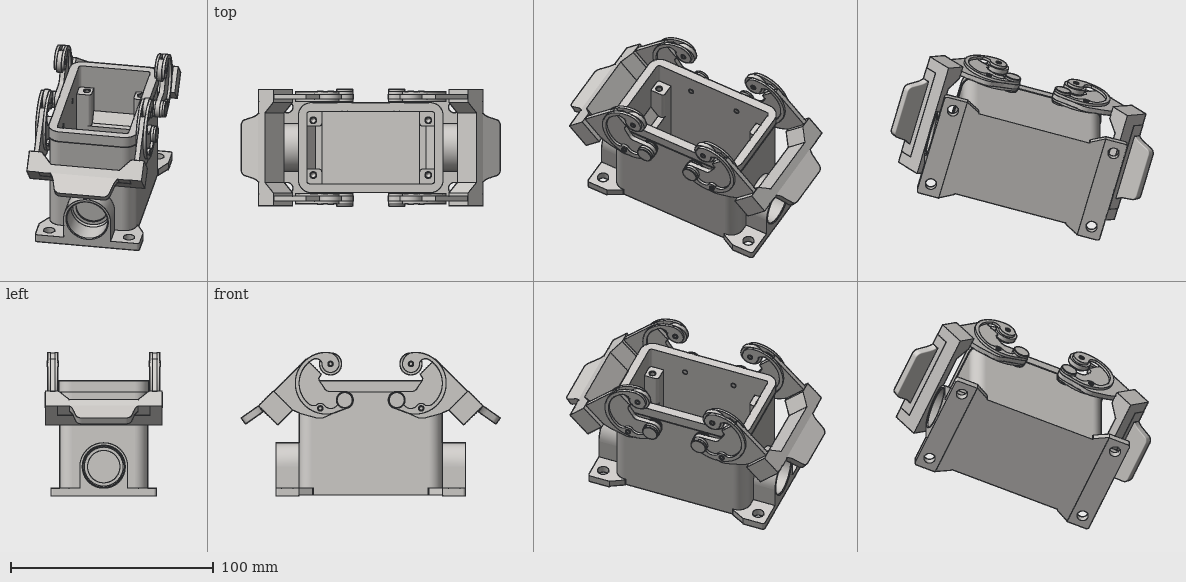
import cadquery as cq
import math

OVERALL_X = 128.0
OVERALL_Y = 58.0

BODY_X = 70.6
BODY_Y = 43.6
BODY_CORNER_R = 6.3
BODY_BOTTOM = 0.45
RIM_BOTTOM = 51.35
BODY_TOP = 57.0
RIM_OVERHANG = 0.4

CAVITY_X = 63.0
CAVITY_Y = 35.7
CAVITY_CORNER_R = 1.4
CAVITY_FLOOR = 3.95
LOWER_CAVITY_X = 48.3
LEDGE_Z = 27.5
SLOPE_TOP_Z = 32.2
SLOPE_FOOT_X = 27.3

POST_TOP = 45.0
POST_INNER_Y = 10.6
POST_CORNER_R = 1.5
POST_HOLE_X = 28.4
POST_HOLE_Y = 13.5
POST_HOLE_D = 2.6
POST_HOLE_DEPTH = 12.0
POST_COUNTERSINK_D = 3.4

FOOT_END_X = 46.8
FOOT_Y = 52.2
FOOT_TOP = 3.95
FOOT_CORNER_R = 1.3
FOOT_SHOULDER_X = 35.5
FOOT_TIP_X = 28.3
FOOT_TIP_STEP = 0.6
FOOT_TIP_BEVEL = 0.4
FOOT_HOLE_X = 41.2
FOOT_HOLE_Y = 20.0
FOOT_HOLE_D = 5.5

ENTRY_R = 11.8
ENTRY_Z = 14.5
BORE_D = 20.4
BORE_MOUTH_D = 21.3
BORE_DEPTH = 11.8
BORE_END_D = 19.2
BORE_END_TAPER = 1.4
KNOCKOUT_D = 16.0
KNOCKOUT_DEPTH = 1.0

COVER_INNER_Y = 22.7
PLATE_INNER_Y = 23.95
PLATE_OUTER_Y = 26.35
COVER_OUTER_Y = 27.7

HOOK_X, HOOK_Z = -22.0, 55.7
HOOK_OUTER_R = 15.24
HOOK_INNER_R = 13.35
HEAD_X, HEAD_Z = -19.85, 65.2
HEAD_R = 4.2
ROLLER_R = 5.5
RIVET_X, RIVET_Z = -24.9, 43.25
RIVET_BOSS_R = 2.5
RIVET_R = 1.35
RIVET_BORE_R = 0.9
RIVET_RELIEF = 0.3

WEB_DIP_RIGHT = (-20.1, 43.2)
WEB_DIP_LEFT = (-28.4, 44.6)
BEAK_INSIDE = (-25.5, 67.3)
BEAK_OUTSIDE = (-17.4, 69.2)

INNER_LOW_ANGLE = 231
INNER_HIGH_ANGLE = 116
BOSS_SIDE_ANGLE = 40
EYE_JOIN_ANGLE = 212
HEAD_JOIN_ANGLE = 172

STUD_X, STUD_Z = -12.85, 47.35
STUD_STEM_R = 3.7
STUD_HEAD_R = 4.0
COVER_EYE_R = 4.1
PLATE_EYE_R = 4.25
STUD_HEAD_CHAMFER = 0.3
STUD_SOCKET_D = 2.6
STUD_SOCKET_DEPTH = 0.4

ARM_LENGTH = 32.95
ARM_UPPER_INSET = 0.3
ARM_END_WIDTH = 10.6
ARM_LOWER_INSET = 0.3

THROAT_NOTCH = (-25.6, 58.1)
THROAT_TOP = (-25.2, 56.7)
THROAT_LOW = (-22.9, 53.2)
THROAT_BLEND = (-21.9, 52.1)
THROAT_END_X = -20.6
BELLY_RIGHT = (-23.2, 38.7)
BELLY_LOW = (-24.9, 38.4)
BELLY_LEFT = (-26.6, 38.5)
BELLY_BEND = (-34.7, 40.7)

BAR_X, BAR_Z = -55.4, 44.55
BAR_ANGLE = 45.0
BAR_LENGTH = 10.4
BAR_HEIGHT = 13.5
BAR_Y = 57.5
BAR_WAIST_LENGTH = 4.45
WAIST_HALF_Y = 17.1
WAIST_SHOULDER_Y = 22.4

TAB_ANGLE = 35.0
TAB_THICKNESS = 3.8
TAB_EDGE_R = 0.5
TAB_ROOT_DEPTH = 2.0
PAD_HEIGHT = 6.5
PAD_RAISE = 0.15
PAD_HALF_Y = 22.8
TAB_HALF_Y = 17.0
TAB_WAIST_HALF_Y = 15.2
TAB_WAIST_LENGTH = 3.2
TAB_TIP_HALF_Y = 13.2
TAB_TIP_R = 3.0


def box(x0, x1, y0, y1, z0, z1):
    """Axis-aligned block between the given limits."""
    return cq.Workplane("XY").box(x1 - x0, y1 - y0, z1 - z0, centered=False).translate((x0, y0, z0))


def front_plane(y):
    """X-Z sketch plane at -y that extrudes outward, away from the housing."""
    return cq.Workplane("XZ", origin=(0, -y, 0))


def front_disc(x, z, radius, y0, y1):
    """Disc with its axis along Y, from -y0 to -y1."""
    return front_plane(y0).center(x, z).circle(radius).extrude(y1 - y0)


def polar(x, z, radius, degrees):
    """Point on a circle about (x, z)."""
    angle = math.radians(degrees)
    return (x + radius * math.cos(angle), z + radius * math.sin(angle))


def with_mirror(part, plane):
    """The part together with its mirror image."""
    return part.union(part.mirror(plane))


def rounded_block(size_x, size_y, z0, z1, radius):
    block = box(-size_x / 2, size_x / 2, -size_y / 2, size_y / 2, z0, z1)
    return block.edges("|Z").fillet(radius)


def make_shell():
    wall = rounded_block(BODY_X, BODY_Y, BODY_BOTTOM, RIM_BOTTOM, BODY_CORNER_R)
    rim_x = BODY_X + 2 * RIM_OVERHANG
    rim_y = BODY_Y + 2 * RIM_OVERHANG
    rim = rounded_block(rim_x, rim_y, RIM_BOTTOM, BODY_TOP, BODY_CORNER_R)
    return wall.union(rim)


def make_foot():
    """Left foot: raised pad under the end and tapered ears beside the wall."""
    half_y = FOOT_Y / 2
    wall_y = BODY_Y / 2
    side = [
        (-FOOT_END_X, half_y),
        (-FOOT_SHOULDER_X, half_y),
        (-FOOT_TIP_X - FOOT_TIP_BEVEL, wall_y + FOOT_TIP_STEP),
        (-FOOT_TIP_X, wall_y),
    ]
    other_side = [(x, -y) for x, y in reversed(side)]
    foot = cq.Workplane("XY").polyline(side + other_side).close().extrude(FOOT_TOP)
    foot = foot.faces("<X").edges("|Z").fillet(FOOT_CORNER_R)
    relief = box(-FOOT_SHOULDER_X, 0, -half_y, half_y, 0, BODY_BOTTOM)
    return foot.cut(relief)


def make_entry():
    """Left cable entry: half-round tower standing on the foot."""
    tower = box(-FOOT_END_X, -LOWER_CAVITY_X / 2, -ENTRY_R, ENTRY_R, BODY_BOTTOM, ENTRY_Z)
    barrel_length = FOOT_END_X - LOWER_CAVITY_X / 2
    barrel = (
        cq.Workplane("YZ", origin=(-FOOT_END_X, 0, ENTRY_Z))
        .circle(ENTRY_R)
        .extrude(barrel_length)
    )
    return tower.union(barrel)


def make_cavity():
    """Inside space, narrowed lengthwise below the ledge by the entry walls."""
    half_y = CAVITY_Y / 2
    upper = rounded_block(CAVITY_X, CAVITY_Y, LEDGE_Z, BODY_TOP, CAVITY_CORNER_R)
    lower = box(-LOWER_CAVITY_X / 2, LOWER_CAVITY_X / 2, -half_y, half_y, CAVITY_FLOOR, LEDGE_Z)
    slope = (
        front_plane(-half_y)
        .polyline([(-CAVITY_X / 2, LEDGE_Z), (-SLOPE_FOOT_X, LEDGE_Z), (-CAVITY_X / 2, SLOPE_TOP_Z)])
        .close()
        .extrude(CAVITY_Y)
    )
    post = box(-CAVITY_X / 2, -LOWER_CAVITY_X / 2, -CAVITY_Y / 2, -POST_INNER_Y, LEDGE_Z, POST_TOP)
    post = post.edges("|Z and >X and >Y").fillet(POST_CORNER_R)
    posts = with_mirror(post, "XZ")
    return upper.union(lower).cut(with_mirror(slope.union(posts), "YZ"))


def make_bore():
    """Left entry bore with a bevelled mouth, a tapered end and a knockout disc."""
    mouth_depth = (BORE_MOUTH_D - BORE_D) / 2
    taper_end = BORE_DEPTH + BORE_END_TAPER
    total_depth = taper_end + KNOCKOUT_DEPTH
    profile = [
        (0, 0),
        (0, BORE_MOUTH_D / 2),
        (mouth_depth, BORE_D / 2),
        (BORE_DEPTH, BORE_D / 2),
        (taper_end, BORE_END_D / 2),
        (taper_end, KNOCKOUT_D / 2),
        (total_depth, KNOCKOUT_D / 2),
        (total_depth, 0),
    ]
    bore = cq.Workplane("XY").polyline(profile).close().revolve(360, (0, 0, 0), (1, 0, 0))
    return bore.translate((-FOOT_END_X, 0, ENTRY_Z))


def make_post_hole():
    """Countersunk blind hole with a conical bottom, opening upward at z = 0."""
    hole_r = POST_HOLE_D / 2
    mouth_r = POST_COUNTERSINK_D / 2
    profile = [
        (0, 0),
        (mouth_r, 0),
        (hole_r, hole_r - mouth_r),
        (hole_r, -POST_HOLE_DEPTH),
        (0, -POST_HOLE_DEPTH - hole_r),
    ]
    return cq.Workplane("XZ").polyline(profile).close().revolve(360, (0, 0, 0), (0, 1, 0))


def drill_posts(part):
    hole = make_post_hole().translate((-POST_HOLE_X, -POST_HOLE_Y, POST_TOP))
    return part.cut(with_mirror(with_mirror(hole, "XZ"), "YZ"))


def drill_feet(part):
    points = [(sx * FOOT_HOLE_X, sy * FOOT_HOLE_Y) for sx in (-1, 1) for sy in (-1, 1)]
    holes = cq.Workplane("XY").pushPoints(points).circle(FOOT_HOLE_D / 2).extrude(FOOT_TOP)
    return part.cut(holes)


def make_housing():
    ends = with_mirror(make_foot().union(make_entry()), "YZ")
    housing = make_shell().union(ends)
    housing = housing.cut(make_cavity()).cut(with_mirror(make_bore(), "YZ"))
    return drill_feet(drill_posts(housing))


def stud_tangent_angle():
    """Direction of the normal of the line touching hook and stud eye from below."""
    dx = STUD_X - HOOK_X
    dz = STUD_Z - HOOK_Z
    spread = math.acos((HOOK_OUTER_R - COVER_EYE_R) / math.hypot(dx, dz))
    return math.degrees(math.atan2(dz, dx) - spread)


def make_cover(y0, y1):
    """C-shaped cheek from the roller head round to the stud eye."""
    tangent = stud_tangent_angle()
    outer_top = polar(HOOK_X, HOOK_Z, HOOK_OUTER_R, 90)
    inner_low = polar(HOOK_X, HOOK_Z, HOOK_INNER_R, INNER_LOW_ANGLE)
    inner_high = polar(HOOK_X, HOOK_Z, HOOK_INNER_R, INNER_HIGH_ANGLE)
    boss_right = polar(RIVET_X, RIVET_Z, RIVET_BOSS_R, BOSS_SIDE_ANGLE)
    boss_left = polar(RIVET_X, RIVET_Z, RIVET_BOSS_R, 180 - BOSS_SIDE_ANGLE)
    stud_left = polar(STUD_X, STUD_Z, COVER_EYE_R, EYE_JOIN_ANGLE)
    head_left = polar(HEAD_X, HEAD_Z, HEAD_R, HEAD_JOIN_ANGLE)
    outline = (
        front_plane(y0)
        .moveTo(*outer_top)
        .threePointArc(
            polar(HOOK_X, HOOK_Z, HOOK_OUTER_R, 180),
            polar(HOOK_X, HOOK_Z, HOOK_OUTER_R, tangent),
        )
        .lineTo(*polar(STUD_X, STUD_Z, COVER_EYE_R, tangent))
        .threePointArc(polar(STUD_X, STUD_Z, COVER_EYE_R, 60), stud_left)
        .threePointArc(WEB_DIP_RIGHT, boss_right)
        .threePointArc(polar(RIVET_X, RIVET_Z, RIVET_BOSS_R, 90), boss_left)
        .threePointArc(WEB_DIP_LEFT, inner_low)
        .threePointArc(polar(HOOK_X, HOOK_Z, HOOK_INNER_R, 180), inner_high)
        .threePointArc(BEAK_INSIDE, head_left)
        .threePointArc(
            polar(HEAD_X, HEAD_Z, HEAD_R, 270),
            polar(HEAD_X, HEAD_Z, HEAD_R, 0),
        )
        .threePointArc(BEAK_OUTSIDE, outer_top)
        .close()
    )
    return outline.extrude(y1 - y0)


def make_plate():
    """Flat steel arm from the crossbar to the stud, between the two cheeks."""
    tangent = stud_tangent_angle()
    eye_top = STUD_Z + PLATE_EYE_R
    outline = (
        front_plane(PLATE_INNER_Y)
        .moveTo(*bar_point(BAR_LENGTH, ARM_UPPER_INSET))
        .lineTo(*bar_point(ARM_LENGTH, ARM_UPPER_INSET))
        .lineTo(*bar_point(ARM_LENGTH, ARM_UPPER_INSET + ARM_END_WIDTH))
        .lineTo(*THROAT_NOTCH)
        .lineTo(*THROAT_TOP)
        .lineTo(*THROAT_LOW)
        .threePointArc(THROAT_BLEND, (THROAT_END_X, eye_top))
        .lineTo(STUD_X, eye_top)
        .threePointArc(
            polar(STUD_X, STUD_Z, PLATE_EYE_R, 0),
            polar(STUD_X, STUD_Z, PLATE_EYE_R, tangent),
        )
        .lineTo(*polar(HOOK_X, HOOK_Z, HOOK_OUTER_R - ARM_LOWER_INSET, tangent))
        .lineTo(*BELLY_RIGHT)
        .threePointArc(BELLY_LOW, BELLY_LEFT)
        .lineTo(*BELLY_BEND)
        .lineTo(*bar_point(BAR_LENGTH, BAR_HEIGHT))
        .close()
    )
    return outline.extrude(PLATE_OUTER_Y - PLATE_INNER_Y)


def make_rivet(x, z):
    """Hollow-ended rivet through both cheeks."""
    inner = COVER_INNER_Y - RIVET_RELIEF
    outer = COVER_OUTER_Y + RIVET_RELIEF
    shank = front_disc(x, z, RIVET_R, inner, outer)
    outer_dimple = front_disc(x, z, RIVET_BORE_R, COVER_OUTER_Y, outer)
    inner_dimple = front_disc(x, z, RIVET_BORE_R, inner, COVER_INNER_Y)
    return shank, outer_dimple.union(inner_dimple)


def make_stud():
    head = front_disc(STUD_X, STUD_Z, STUD_HEAD_R, COVER_OUTER_Y, OVERALL_Y / 2)
    head = head.faces("<Y").chamfer(STUD_HEAD_CHAMFER)
    wall_y = (BODY_Y + CAVITY_Y) / 4
    stem = front_disc(STUD_X, STUD_Z, STUD_STEM_R, wall_y, COVER_OUTER_Y)
    return head.union(stem)


def make_arm():
    """Front arm of the left lever."""
    arm = make_plate()
    arm = arm.union(make_cover(COVER_INNER_Y, PLATE_INNER_Y))
    arm = arm.union(make_cover(PLATE_OUTER_Y, COVER_OUTER_Y))
    arm = arm.union(front_disc(HEAD_X, HEAD_Z, ROLLER_R, PLATE_INNER_Y, PLATE_OUTER_Y))
    for x, z in ((HEAD_X, HEAD_Z), (RIVET_X, RIVET_Z)):
        shank, dimples = make_rivet(x, z)
        arm = arm.union(shank).cut(dimples)
    return arm.union(make_stud())


def bar_point(along, down):
    """Point of the crossbar section: along the lever, then square to it."""
    angle = math.radians(BAR_ANGLE)
    x = BAR_X + along * math.cos(angle) + down * math.sin(angle)
    z = BAR_Z + along * math.sin(angle) - down * math.cos(angle)
    return (x, z)


def make_crossbar():
    """Bar joining both arms; its middle is set back so it clears the housing."""
    angle = math.radians(BAR_ANGLE)
    plane = cq.Plane(
        origin=(BAR_X, 0, BAR_Z),
        xDir=(math.cos(angle), 0, math.sin(angle)),
        normal=(math.sin(angle), 0, -math.cos(angle)),
    )
    half_y = BAR_Y / 2
    outline = [
        (0, -half_y),
        (BAR_LENGTH, -half_y),
        (BAR_LENGTH, -WAIST_SHOULDER_Y),
        (BAR_WAIST_LENGTH, -WAIST_HALF_Y),
        (BAR_WAIST_LENGTH, WAIST_HALF_Y),
        (BAR_LENGTH, WAIST_SHOULDER_Y),
        (BAR_LENGTH, half_y),
        (0, half_y),
    ]
    bar = cq.Workplane(plane).polyline(outline).close().extrude(BAR_HEIGHT)
    pad = cq.Workplane(plane).rect(2 * PAD_RAISE, 2 * PAD_HALF_Y).extrude(PAD_HEIGHT)
    return bar.union(pad)


def make_tab():
    """Sloping thumb tab with its root buried in the crossbar."""
    angle = math.radians(TAB_ANGLE)
    plane = cq.Plane(
        origin=(BAR_X, 0, BAR_Z),
        xDir=(-math.cos(angle), 0, -math.sin(angle)),
        normal=(math.sin(angle), 0, -math.cos(angle)),
    )
    length = (OVERALL_X / 2 + BAR_X) / math.cos(angle)
    half_blade = (
        cq.Workplane(plane)
        .moveTo(-TAB_ROOT_DEPTH, 0)
        .lineTo(length, 0)
        .lineTo(length, TAB_TIP_HALF_Y)
        .lineTo(TAB_WAIST_LENGTH, TAB_WAIST_HALF_Y)
        .tangentArcPoint((0, TAB_HALF_Y), relative=False)
        .lineTo(-TAB_ROOT_DEPTH, TAB_HALF_Y)
        .close()
        .extrude(TAB_THICKNESS)
    )
    blade = with_mirror(half_blade, "XZ")
    blade = blade.faces("<X").edges("not |Y").fillet(TAB_TIP_R)
    return blade.faces("<X").edges("|Y").edges("<Z").fillet(TAB_EDGE_R)


def make_lever():
    arms = with_mirror(make_arm(), "XZ")
    return make_crossbar().union(arms).union(make_tab())


def make_stud_sockets():
    """Shallow recesses in the cavity walls at the stud ends."""
    wall_y = CAVITY_Y / 2
    socket = front_disc(STUD_X, STUD_Z, STUD_SOCKET_D / 2, wall_y, wall_y + STUD_SOCKET_DEPTH)
    return with_mirror(with_mirror(socket, "XZ"), "YZ")


levers = with_mirror(make_lever(), "YZ")
result = make_housing().union(levers).cut(make_stud_sockets())